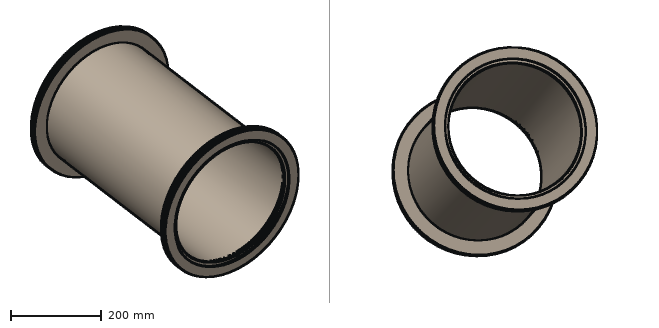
import cadquery as cq

overall_length = 501.9
flange_diameter = 370.0
flange_thickness = 17.0

tube_outer_diameter = 305.0
tube_wall = 2.5
tube_setback = 10.0

recess_diameter = 318.0
recess_depth = 5.0
lip_diameter = 301.5
rim_chamfer = 1.0
groove_radius = 2.5
groove_offset = 5.25

half_length = overall_length / 2
flange_radius = flange_diameter / 2
tube_outer_radius = tube_outer_diameter / 2
tube_inner_radius = tube_outer_radius - tube_wall
recess_radius = recess_diameter / 2
lip_radius = lip_diameter / 2


def make_tube():
    """Plain pipe along X, centred on the origin."""
    tube_length = overall_length - 2 * tube_setback
    return (
        cq.Workplane("YZ", origin=(-tube_length / 2, 0, 0))
        .circle(tube_outer_radius)
        .circle(tube_inner_radius)
        .extrude(tube_length)
    )


def make_flange(side):
    """Grooved ring at the -X end (side = -1) or the +X end (side = 1), revolved about X."""

    def point(depth, radius):
        """Profile point at a depth measured inward from the flange face."""
        return (side * (half_length - depth), radius)

    groove_middle = groove_offset + groove_radius
    groove_end = groove_middle + groove_radius
    profile = (
        cq.Workplane("XY")
        .moveTo(*point(0, recess_radius))
        .lineTo(*point(0, flange_radius - rim_chamfer))
        .lineTo(*point(rim_chamfer, flange_radius))
        .lineTo(*point(groove_offset, flange_radius))
        .threePointArc(
            point(groove_middle, flange_radius - groove_radius),
            point(groove_end, flange_radius),
        )
        .lineTo(*point(flange_thickness, flange_radius))
        .lineTo(*point(flange_thickness, tube_outer_radius))
        .lineTo(*point(tube_setback, tube_outer_radius))
        .lineTo(*point(tube_setback, lip_radius))
        .lineTo(*point(recess_depth, lip_radius))
        .lineTo(*point(recess_depth, recess_radius))
        .close()
    )
    return profile.revolve(360, (0, 0, 0), (1, 0, 0))


tube = make_tube()
flanges = [make_flange(side) for side in (-1, 1)]

result = cq.Compound.makeCompound([tube.val(), *[flange.val() for flange in flanges]])